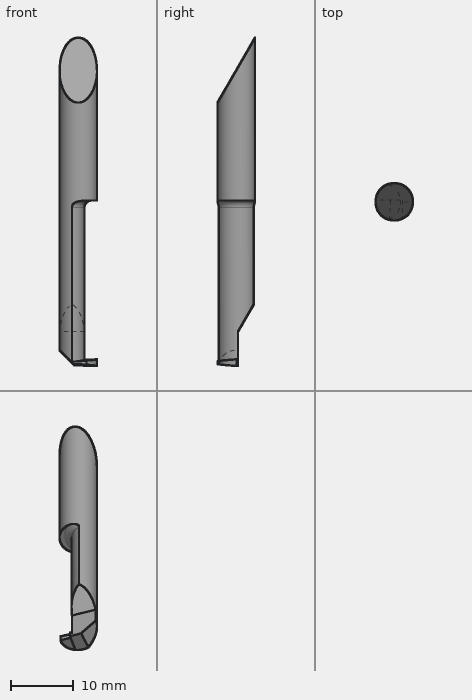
import cadquery as cq
import math


def slope(angle):
    return math.tan(math.radians(angle))


shank_radius = 3.0
total_length = 52.44
top_cut_angle = 30.0
end_chamfer = 2.53

neck_radius = shank_radius
neck_offset = 2.0
shoulder_height = 26.4
shoulder_fillet = 1.05
foot_fillet = 0.28

clearance_y = 0.3
clearance_height = 5.5
clearance_angle = 30.0

tip_split = 1.3
edge_width = 1.1
tip_slope_x = slope(2.0)
tip_slope_y = slope(4.0)
foot_slope_x = slope(4.0)

reach = 4 * shank_radius


def slab(origin, slope_x, slope_y, thickness):
    """Block on the plane through origin that rises by slope_x along X and slope_y along Y."""
    plane = cq.Plane(origin=origin, xDir=(1, 0, slope_x), normal=(-slope_x, -slope_y, 1))
    return cq.Workplane(plane).rect(2 * reach, 2 * reach).extrude(thickness)


def side_prism(plane_name, points):
    """Prism with the given outline, running through the whole tool along the plane's normal."""
    return cq.Workplane(plane_name).polyline(points).close().extrude(reach, both=True)


def below_head():
    """Space under the bottom face of the head."""
    return slab((shank_radius, 0, 0), -tip_slope_x, -tip_slope_y, -reach)


def above_tip():
    """Space over the top face of the tip."""
    return slab((shank_radius, 0, edge_width), tip_slope_x, tip_slope_y, 2 * total_length)


def neck_relief():
    """Ring-shaped space around the neck, between the shoulder and the sloped top of the foot."""
    ring = (
        cq.Workplane("XZ")
        .moveTo(neck_radius, -reach)
        .lineTo(reach, -reach)
        .lineTo(reach, shoulder_height)
        .lineTo(neck_radius + shoulder_fillet, shoulder_height)
        .radiusArc((neck_radius, shoulder_height - shoulder_fillet), -shoulder_fillet)
        .close()
        .revolve(360, (0, 0, 0), (0, 1, 0))
        .translate((-neck_offset, 0, 0))
    )
    foot_edge_height = edge_width - tip_slope_x * (shank_radius - tip_split)
    below_foot_top = slab((tip_split, 0, foot_edge_height), foot_slope_x, tip_slope_y, -2 * reach)
    ring = ring.cut(below_foot_top)
    inner_edge = cq.selectors.LengthNthSelector(0)
    return ring.faces("<Z").edges(inner_edge).fillet(foot_fillet)


def top_cut():
    """Slanted top face, highest at +Y."""
    drop = 2 * shank_radius / slope(top_cut_angle)
    return side_prism("YZ", [
        (shank_radius, total_length),
        (-shank_radius, total_length - drop),
        (-shank_radius, total_length),
    ])


def chip_clearance():
    """Material removed on the +Y side of the lower end."""
    run_out = (reach - clearance_y) / slope(clearance_angle)
    return side_prism("YZ", [
        (clearance_y, -reach),
        (clearance_y, clearance_height),
        (reach, clearance_height + run_out),
        (reach, -reach),
    ])


def end_cut():
    """45 degree cut across the -X side of the lower end."""
    return side_prism("XZ", [
        (-shank_radius, end_chamfer),
        (end_chamfer - shank_radius, 0),
        (end_chamfer - shank_radius, -reach),
        (-reach, -reach),
        (-reach, end_chamfer + reach - shank_radius),
    ])


def tip_space():
    """Space beyond the split plane that holds the tip, up to the shoulder fillet."""
    top = shoulder_height - shoulder_fillet
    return side_prism("XZ", [
        (tip_split, -reach),
        (reach, -reach),
        (reach, top),
        (tip_split, top),
    ])


def behind_rake():
    """Space on the +Y side of the tip's rake face, which lies in the plane Y = 0."""
    return side_prism("YZ", [
        (0, -reach),
        (reach, -reach),
        (reach, reach),
        (0, reach),
    ])


bar = cq.Workplane("XY").circle(shank_radius).extrude(total_length)

shank = (
    bar.cut(top_cut())
    .cut(neck_relief())
    .cut(tip_space())
    .cut(chip_clearance())
    .cut(end_cut())
    .cut(below_head())
)

tip = (
    bar.intersect(tip_space())
    .cut(above_tip())
    .cut(below_head())
    .cut(behind_rake())
)

result = cq.Compound.makeCompound([shank.val(), tip.val()])